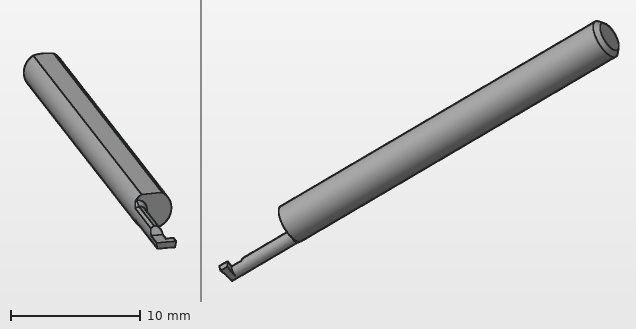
import cadquery as cq
import math

total_length = 38.1
shank_length = 31.05
shank_diameter = 3.15
shank_height = 2.95
shank_radius = shank_diameter / 2
flat_z = shank_height - shank_radius
end_chamfer = 0.4

neck_top_z = 0.65
neck_bottom_z = -0.5
neck_radius = (neck_top_z - neck_bottom_z) / 2
neck_center_y = -1.22
neck_center_z = (neck_top_z + neck_bottom_z) / 2
facet_angle = 28.0
flare_length = 0.6
flare_height = 0.25
neck_side_y = neck_center_y + neck_radius

rake_z = 0.05
ramp_start_x = 35.95
ramp_end_x = 36.42
tip_y = -0.05
tip_width = 0.85
side_relief = 0.08
clearance_angle = 8.0

margin = 0.4


def make_shank():
    shank = cq.Workplane("YZ").circle(shank_radius).extrude(shank_length)
    shank = shank.faces("<X").chamfer(end_chamfer)
    flat_cutter = (
        cq.Workplane("XY", origin=(0, 0, flat_z))
        .rect(2 * total_length, 2 * shank_diameter)
        .extrude(shank_diameter)
    )
    return shank.cut(flat_cutter)


def neck_outline(plane, growth=0.0):
    """Neck section grown outward by `growth`; its -Y end runs past the shank surface."""
    radius = neck_radius + growth
    top_z = neck_center_z + radius
    bottom_z = neck_center_z - radius
    outer_y = -shank_radius - margin
    facet_drop = (neck_center_y - outer_y) * math.tan(math.radians(facet_angle))
    return (
        plane.moveTo(outer_y, bottom_z)
        .lineTo(neck_center_y, bottom_z)
        .threePointArc((neck_center_y + radius, neck_center_z), (neck_center_y, top_z))
        .lineTo(outer_y, top_z - facet_drop)
        .close()
    )


def make_neck():
    """Neck with a flare at the shank and a ramp down to the rake face."""
    start = cq.Workplane("YZ", origin=(shank_length, 0, 0))
    bar = neck_outline(start).extrude(ramp_end_x - shank_length)
    flare_base = neck_outline(start, flare_height)
    flare = neck_outline(flare_base.workplane(offset=flare_length)).loft(ruled=True)
    ramp_cutter = (
        cq.Workplane("XZ")
        .moveTo(ramp_start_x, neck_top_z)
        .lineTo(ramp_end_x, rake_z)
        .lineTo(ramp_end_x, neck_top_z)
        .close()
        .extrude(shank_diameter, both=True)
    )
    return bar.union(flare).cut(ramp_cutter)


def make_head():
    """Flat hook; both sides of the tip lean so that the cutting edge is widest,
    and its walls taper inward below the rake face for clearance.
    """
    outer_y = -shank_radius - margin
    tip_back_x = total_length - tip_width
    hook = (
        cq.Workplane("XY", origin=(0, 0, rake_z))
        .moveTo(tip_back_x + side_relief, neck_side_y)
        .lineTo(tip_back_x, tip_y)
        .lineTo(total_length, tip_y)
        .lineTo(total_length - side_relief, neck_side_y)
        .lineTo(total_length - side_relief, outer_y)
        .lineTo(tip_back_x + side_relief, outer_y)
        .close()
        .extrude(neck_bottom_z - rake_z, taper=clearance_angle)
    )
    stem = neck_outline(cq.Workplane("YZ", origin=(ramp_end_x, 0, 0))).extrude(
        total_length - tip_width / 2 - ramp_end_x
    )
    above_rake = cq.Workplane("XY", origin=(ramp_end_x, 0, rake_z)).box(
        total_length - ramp_end_x, 2 * shank_diameter, shank_diameter, centered=(False, True, False)
    )
    return stem.cut(above_rake).union(hook)


envelope = cq.Workplane("YZ").circle(shank_radius).extrude(total_length)
cutting_end = make_neck().union(make_head()).intersect(envelope)
result = make_shank().union(cutting_end)